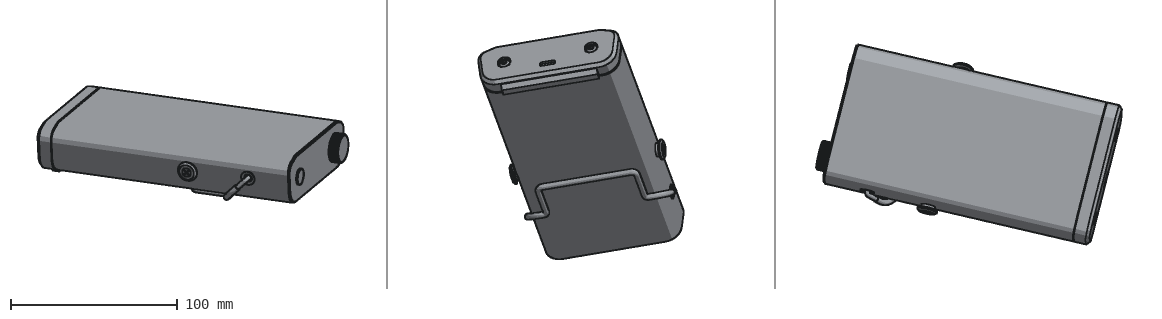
import cadquery as cq
import math

HOUSING_HEIGHT = 30.1
TOP_FLAT_HALF = 32.3
BOTTOM_FLAT_HALF = 41.2
SHOULDER_ANGLE = 19.0
SIDE_ANGLE = 6.0
TOP_EDGE_RADIUS = 5.1
SHOULDER_RADIUS = 6.89
BOTTOM_RADIUS = 10.5

CAP_LENGTH = 9.4
CAP_CHAMFER = 2.0
SEAM_WIDTH = 0.5
SEAM_DEPTH = 0.5
HOUSING_BACK = 162.9
BACK_PLATE_THICKNESS = 1.0
BACK_PLATE_INSET = 0.9
KNOB_BACK = 170.0

AXIS_HEIGHT = 15.1

FOOT_START = 2.7
FOOT_DROP = 2.5
FOOT_HALF_WIDTH = 29.6

SCREW_SPACING = 53.7
SCREW_HOLE_DIAMETER = 7.8
SCREW_HOLE_DEPTH = 1.7
SCREW_HEAD_DIAMETER = 6.5
SCREW_HEAD_CHAMFER = 1.5
SCREW_SOCKET_DIAMETER = 1.9
PORT_WIDTH = 9.5
PORT_HEIGHT = 3.0
PORT_DEPTH = 1.7
PORT_Z = 8.3

BACK_KNOB_Y = 27.2
BACK_KNOB_DIAMETER = 17.9
BACK_KNOB_CHAMFER = 0.9
BACK_KNOB_GROOVE_X = 167.0
BACK_KNOB_GROOVE_WIDTH = 0.5
BACK_KNOB_TEETH = 60
BACK_NUT_Y = -27.9
BACK_NUT_DIAMETER = 10.0
BACK_NUT_THICKNESS = 1.2
BACK_NUT_TEETH = 36
TOOTH_DEPTH = 0.3

SIDE_KNOB_X = 99.0
SIDE_KNOB_Z = 15.6
SIDE_KNOB_DIAMETER = 12.2
SIDE_KNOB_NECK_DIAMETER = 8.5
SIDE_KNOB_FACE_DIAMETER = 9.5
SIDE_KNOB_NECK_HEIGHT = 1.7
SIDE_KNOB_RIM_START = 2.5
SIDE_KNOB_RIM_END = 3.2
SIDE_KNOB_HEIGHT = 4.3
KNOB_SCREW_DIAMETER = 5.6
KNOB_SCREW_HEIGHT = 0.3
CROSS_WIDTH = 0.5
CROSS_DEPTH = 1.0

PIVOT_X = 136.7
PIVOT_RECESS_DIAMETER = 8.7
PIVOT_RECESS_DEPTH = 0.5
PIVOT_HOLE_DIAMETER = 5.0
PIVOT_HOLE_DEPTH = 1.7
PIVOT_PIN_END_Y = 38.3

WIRE_DIAMETER = 3.7
ARM_DIAMETER = 3.0
ARM_Y = 44.2
ARM_ELBOW_RADIUS = 2.2
STEP_DISTANCE = 8.3
WIRE_Z = -1.4
LARGE_BEND_RADIUS = 11.7
LEG_BEND_RADIUS = 2.0
CROSSBAR_X = 96.0
CROSSBAR_BEND_RADIUS = 3.4

SHOULDER_SLOPE = math.tan(math.radians(SHOULDER_ANGLE))
SIDE_SLOPE = math.tan(math.radians(SIDE_ANGLE))
SHOULDER_Z = (HOUSING_HEIGHT - (BOTTOM_FLAT_HALF - TOP_FLAT_HALF) * SHOULDER_SLOPE) / (
    1 + SIDE_SLOPE * SHOULDER_SLOPE
)
SHOULDER_HALF = BOTTOM_FLAT_HALF + SHOULDER_Z * SIDE_SLOPE
HOUSING_FRONT = CAP_LENGTH + SEAM_WIDTH
PLATE_BACK = HOUSING_BACK + BACK_PLATE_THICKNESS


def envelope(start, end):
    """The rounded shell shape, from X = start to X = end."""
    corners = [
        (-BOTTOM_FLAT_HALF, 0),
        (BOTTOM_FLAT_HALF, 0),
        (SHOULDER_HALF, SHOULDER_Z),
        (TOP_FLAT_HALF, HOUSING_HEIGHT),
        (-TOP_FLAT_HALF, HOUSING_HEIGHT),
        (-SHOULDER_HALF, SHOULDER_Z),
    ]
    block = cq.Workplane("YZ", origin=(start, 0, 0)).polyline(corners).close().extrude(end - start)
    block = block.edges("|X").edges("<Y or >Y").fillet(SHOULDER_RADIUS)
    block = block.edges("|X").edges("<Z").fillet(BOTTOM_RADIUS)
    return block.edges("|X").edges(">Z").fillet(TOP_EDGE_RADIUS)


def inset_step(block, face, inset, length):
    """Adds a step on an end face of block, set in from its outline."""
    return block.faces(face).wires().toPending().workplane().offset2D(-inset).extrude(length)


def side_plane(x, z):
    """Plane lying in the leaning -Y side wall, facing outwards."""
    wall_y = -BOTTOM_FLAT_HALF - z * SIDE_SLOPE
    normal = (0, -1, -SIDE_SLOPE)
    return cq.Plane(origin=(x, wall_y, z), xDir=(1, 0, 0), normal=normal)


def on_both_sides(shape):
    """The shape on the -Y side together with its mirror image on the +Y side."""
    return shape.union(shape.mirror("XZ"))


def toothed_disc(start, end, y, diameter, teeth):
    """Disc along X with V-shaped teeth around its rim."""
    outer_radius = diameter / 2
    outline = []
    for i in range(2 * teeth):
        radius = outer_radius - TOOTH_DEPTH * (i % 2)
        angle = math.pi * i / teeth
        outline.append((y + radius * math.cos(angle), AXIS_HEIGHT + radius * math.sin(angle)))
    return cq.Workplane("YZ", origin=(start, 0, 0)).polyline(outline).close().extrude(end - start)


def cap_foot():
    """Foot under the cap with a 45 degree front face, rooted in the cap."""
    profile = [
        (FOOT_START, 0),
        (FOOT_START + FOOT_DROP, -FOOT_DROP),
        (CAP_LENGTH, -FOOT_DROP),
        (CAP_LENGTH, FOOT_DROP),
        (FOOT_START, FOOT_DROP),
    ]
    foot = cq.Workplane("XZ").polyline(profile).close()
    return foot.extrude(FOOT_HALF_WIDTH, both=True)


def cap_screw_recesses():
    """Round recesses, each leaving a domed screw head with a round socket."""
    centers = cq.Workplane("YZ", origin=(0, 0, AXIS_HEIGHT)).pushPoints(
        [(-SCREW_SPACING / 2, 0), (SCREW_SPACING / 2, 0)]
    )
    holes = centers.circle(SCREW_HOLE_DIAMETER / 2).extrude(SCREW_HOLE_DEPTH)
    heads = (
        centers.circle(SCREW_HEAD_DIAMETER / 2)
        .extrude(SCREW_HOLE_DEPTH)
        .faces("<X")
        .chamfer(SCREW_HEAD_CHAMFER)
    )
    sockets = centers.circle(SCREW_SOCKET_DIAMETER / 2).extrude(SCREW_HOLE_DEPTH)
    return holes.cut(heads).union(sockets)


def make_cap():
    cap = envelope(0, CAP_LENGTH)
    cap = cap.faces("<X").chamfer(CAP_CHAMFER)
    cap = inset_step(cap, ">X", SEAM_DEPTH, SEAM_WIDTH)
    cap = cap.union(cap_foot())
    port = (
        cq.Workplane("YZ", origin=(0, 0, PORT_Z))
        .slot2D(PORT_WIDTH, PORT_HEIGHT)
        .extrude(PORT_DEPTH)
    )
    return cap.cut(port).cut(cap_screw_recesses())


def back_knob():
    """Toothed knob on the back plate, with a ring groove and a chamfered end."""
    knob = toothed_disc(PLATE_BACK, KNOB_BACK, BACK_KNOB_Y, BACK_KNOB_DIAMETER, BACK_KNOB_TEETH)
    center = (BACK_KNOB_Y, AXIS_HEIGHT)
    outer_radius = BACK_KNOB_DIAMETER / 2
    chamfered = (
        cq.Workplane("YZ", origin=(PLATE_BACK, 0, 0))
        .center(*center)
        .circle(outer_radius)
        .extrude(KNOB_BACK - PLATE_BACK)
        .faces(">X")
        .chamfer(BACK_KNOB_CHAMFER)
    )
    groove = (
        cq.Workplane("YZ", origin=(BACK_KNOB_GROOVE_X, 0, 0))
        .center(*center)
        .circle(outer_radius)
        .circle(outer_radius - TOOTH_DEPTH)
        .extrude(BACK_KNOB_GROOVE_WIDTH)
    )
    return knob.intersect(chamfered).cut(groove)


def side_knob():
    """Disc with a double-bevelled rim on a neck, held by a cross-slotted screw."""
    half_profile = [
        (0, -SIDE_KNOB_NECK_HEIGHT),
        (SIDE_KNOB_NECK_DIAMETER / 2, -SIDE_KNOB_NECK_HEIGHT),
        (SIDE_KNOB_NECK_DIAMETER / 2, SIDE_KNOB_NECK_HEIGHT),
        (SIDE_KNOB_DIAMETER / 2, SIDE_KNOB_RIM_START),
        (SIDE_KNOB_DIAMETER / 2, SIDE_KNOB_RIM_END),
        (SIDE_KNOB_FACE_DIAMETER / 2, SIDE_KNOB_HEIGHT),
        (0, SIDE_KNOB_HEIGHT),
    ]
    plane = side_plane(SIDE_KNOB_X, SIDE_KNOB_Z)
    standing = cq.Plane(origin=plane.origin, xDir=plane.xDir, normal=-plane.yDir)
    knob = cq.Workplane(standing).polyline(half_profile).close().revolve(360, (0, 0), (0, 1))
    face = cq.Workplane(plane).workplane(offset=SIDE_KNOB_HEIGHT)
    screw = face.circle(KNOB_SCREW_DIAMETER / 2).extrude(KNOB_SCREW_HEIGHT)
    knob = knob.union(screw)
    top = face.workplane(offset=KNOB_SCREW_HEIGHT)
    for angle in (45, 135):
        slot = top.transformed(rotate=(0, 0, angle)).slot2D(KNOB_SCREW_DIAMETER, CROSS_WIDTH)
        knob = knob.cut(slot.extrude(-CROSS_DEPTH))
    return knob


def pivot_recess():
    """Stepped round recess in the side wall around the end of the bail."""
    wall = cq.Workplane(side_plane(PIVOT_X, AXIS_HEIGHT))
    recess = wall.circle(PIVOT_RECESS_DIAMETER / 2).extrude(-PIVOT_RECESS_DEPTH)
    hole = wall.circle(PIVOT_HOLE_DIAMETER / 2).extrude(-PIVOT_HOLE_DEPTH)
    return recess.union(hole)


def make_housing(bail):
    """Housing, with a hole or groove wherever the bail enters it."""
    housing = envelope(HOUSING_FRONT, HOUSING_BACK)
    housing = inset_step(housing, ">X", BACK_PLATE_INSET, BACK_PLATE_THICKNESS)
    housing = housing.union(back_knob())
    nut_back = PLATE_BACK + BACK_NUT_THICKNESS
    housing = housing.union(
        toothed_disc(PLATE_BACK, nut_back, BACK_NUT_Y, BACK_NUT_DIAMETER, BACK_NUT_TEETH)
    )
    housing = housing.union(on_both_sides(side_knob()))
    return housing.cut(on_both_sides(pivot_recess())).cut(bail)


def arm_point(distance, y):
    """Point in the 45 degree plane of the arms, at a distance down from the pivot axis."""
    drop = distance * math.sqrt(0.5)
    return cq.Vector(PIVOT_X - drop, y, AXIS_HEIGHT - drop)


def sweep_round(edges, diameter):
    """Round wire along a smooth chain of edges."""
    path = cq.Wire.assembleEdges(edges)
    start = cq.Plane(origin=path.startPoint(), normal=edges[0].tangentAt(0))
    return cq.Workplane(start).circle(diameter / 2).sweep(cq.Workplane(path))


def pivot_arm():
    """Thinner end of the wire: the pin in the housing, the elbow and the straight arm."""
    outwards = cq.Vector(0, -1, 0)
    pin_end = arm_point(0, -PIVOT_PIN_END_Y)
    elbow_start = arm_point(0, -ARM_Y + ARM_ELBOW_RADIUS)
    elbow_end = arm_point(ARM_ELBOW_RADIUS, -ARM_Y)
    edges = [
        cq.Edge.makeLine(pin_end, elbow_start),
        cq.Edge.makeTangentArc(elbow_start, outwards, elbow_end),
        cq.Edge.makeLine(elbow_end, arm_point(STEP_DISTANCE, -ARM_Y)),
    ]
    return sweep_round(edges, ARM_DIAMETER)


def half_loop():
    """Thicker wire from the step in the arm to the middle of the crossbar."""
    full_length = (AXIS_HEIGHT - WIRE_Z) * math.sqrt(2)
    bend_start = arm_point(full_length - LARGE_BEND_RADIUS, -ARM_Y)
    bend_end = arm_point(full_length, -ARM_Y + LARGE_BEND_RADIUS)
    leg_start = bend_end + cq.Vector(-LEG_BEND_RADIUS, LEG_BEND_RADIUS, 0)
    leg_end = cq.Vector(CROSSBAR_X + CROSSBAR_BEND_RADIUS, leg_start.y, WIRE_Z)
    bar_start = leg_end + cq.Vector(-CROSSBAR_BEND_RADIUS, CROSSBAR_BEND_RADIUS, 0)
    down = arm_point(1.7, 0) - arm_point(0, 0)
    step = arm_point(STEP_DISTANCE, -ARM_Y)
    edges = [
        cq.Edge.makeLine(step, bend_start),
        cq.Edge.makeTangentArc(bend_start, down, bend_end),
        cq.Edge.makeTangentArc(bend_end, cq.Vector(0, 1, 0), leg_start),
        cq.Edge.makeLine(leg_start, leg_end),
        cq.Edge.makeTangentArc(leg_end, cq.Vector(-1, 0, 0), bar_start),
        cq.Edge.makeLine(bar_start, cq.Vector(CROSSBAR_X, 0, WIRE_Z)),
    ]
    return sweep_round(edges, WIRE_DIAMETER)


def make_bail():
    return on_both_sides(pivot_arm().union(half_loop()))


cap = make_cap()
bail = make_bail()
housing = make_housing(bail)
bodies = [body.solids().val() for body in (cap, housing, bail)]
result = cq.Compound.makeCompound(bodies)